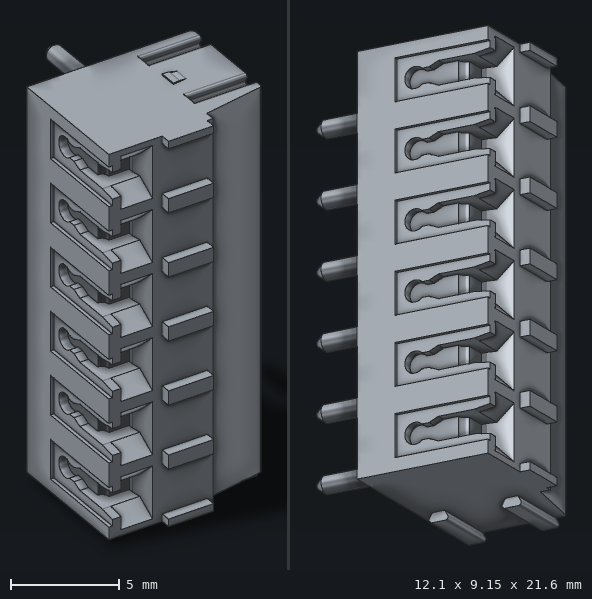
import cadquery as cq
import math

poles = 6
pitch = 3.5
body_length = 7.0
body_depth = 9.15
body_height = 21.02
first_pole_z = (body_height - (poles - 1) * pitch) / 2
pole_heights = [first_pole_z + pole * pitch for pole in range(poles)]

back_start_y = 5.75
back_length_at_start = 6.45
back_length_at_end = 5.87
back_left_radius = 0.28
back_right_radius = 0.17

pin_diameter = 0.9
pin_length = 4.5
pin_axis_y = 4.19
pin_taper_length = 0.4
pin_tip_diameter = 0.3

key_length = 0.55
key_start_y = 2.93
key_end_y = 5.42
key_width = 0.78

dovetail_positions = (1.05, 4.96)
flare_angle = 30
rail_neck = 0.67
rail_height = 0.5
rail_length = 3.5
rail_edge_radius = 0.15
groove_neck = 0.47
groove_depth = 0.56
groove_length = 3.4
groove_edge_radius = 0.09
groove_lip_radius = 0.15

latch_center_x = 3.02
latch_front_y = 5.8
latch_crest_y = 6.17
latch_back_y = 6.55
latch_front_width = 0.97
latch_back_width = 0.78
latch_height = 0.06

recess_start_x = 2.03
recess_width = 2.15
recess_depth = 0.2

slot_floor_y = 0.67
eye_center_x = 2.98
eye_radius = 0.55
throat_half_width = 0.39
throat_end_x = 3.73
channel_half_width = 0.6
channel_start_x = 4.23
mouth_start_x = 6.15
mouth_half_width = 0.73

chamber_wall_x = 5.4
chamber_edge_radius = 0.37
chamber_floor_y = 2.15
chamber_ramp_x = 5.65
chamber_ramp_angle = 10.5


def make_body():
    outline = (
        cq.Workplane("XY")
        .polyline([
            (0, 0),
            (body_length, 0),
            (body_length, back_start_y),
            (back_length_at_start, back_start_y),
            (back_length_at_end, body_depth),
            (0, body_depth),
        ])
        .close()
        .extrude(body_height)
    )
    rounded = outline.faces(">Y").edges("|Z").edges("<X").fillet(back_left_radius)
    return rounded.faces(">Y").edges("|Z").edges(">X").fillet(back_right_radius)


def make_pin(z):
    radius = pin_diameter / 2
    tip_radius = pin_tip_diameter / 2
    return (
        cq.Workplane("XY")
        .polyline([
            (0, 0),
            (0, radius),
            (pin_taper_length - pin_length, radius),
            (-pin_length, tip_radius),
            (-pin_length, 0),
        ])
        .close()
        .revolve(360, (0, 0), (1, 0))
        .translate((0, pin_axis_y, z))
    )


def make_keys():
    """Keys centred between the poles; the outermost two are cut off flush with the body."""
    keys = cq.Workplane("XY")
    for boundary in range(poles + 1):
        center_z = pole_heights[0] + (boundary - 0.5) * pitch
        start_z = max(center_z - key_width / 2, 0)
        end_z = min(center_z + key_width / 2, body_height)
        keys = keys.add(
            cq.Workplane("XY")
            .box(key_length, key_end_y - key_start_y, end_z - start_z, centered=False)
            .translate((body_length, key_start_y, start_z))
        )
    return keys


def make_dovetail(neck, height, length, edge_radius):
    """Dovetail hanging below Z = 0, ending at the back of the body, with rounded wide edges."""
    spread = height * math.tan(math.radians(flare_angle))
    return (
        cq.Workplane("XZ", origin=(0, body_depth, 0))
        .polyline([
            (-neck / 2, 0),
            (neck / 2, 0),
            (neck / 2 + spread, -height),
            (-neck / 2 - spread, -height),
        ])
        .close()
        .extrude(length)
        .faces("<Z").edges("|Y").fillet(edge_radius)
    )


def make_groove(x):
    """Dovetail groove volume, hanging down from the top face."""
    groove = make_dovetail(groove_neck, groove_depth, groove_length, groove_edge_radius)
    return groove.translate((x, 0, body_height))


def round_groove_lips(body):
    """Round both long edges of every groove over into the top face."""
    middle_y = body_depth - groove_length / 2
    for groove_x in dovetail_positions:
        for lip_x in (groove_x - groove_neck / 2, groove_x + groove_neck / 2):
            lip = cq.selectors.NearestToPointSelector((lip_x, middle_y, body_height))
            body = body.edges(lip).fillet(groove_lip_radius)
    return body


def make_latch():
    half_front = latch_front_width / 2
    half_back = latch_back_width / 2
    plan = (
        cq.Workplane("XY")
        .polyline([
            (-half_front, latch_front_y),
            (half_front, latch_front_y),
            (half_back, latch_back_y),
            (-half_back, latch_back_y),
        ])
        .close()
        .extrude(latch_height)
    )
    side_profile = (
        cq.Workplane("YZ")
        .polyline([
            (latch_front_y, 0),
            (latch_front_y, latch_height),
            (latch_crest_y, latch_height),
            (latch_back_y, 0),
        ])
        .close()
        .extrude(half_front, both=True)
    )
    return plan.intersect(side_profile).translate((latch_center_x, 0, body_height))


def make_recess():
    recess_length = body_length - recess_start_x
    return (
        cq.Workplane("XY")
        .box(recess_length, recess_depth, recess_width, centered=(False, False, True))
        .translate((recess_start_x, 0, 0))
    )


def make_slot():
    throat_start_x = eye_center_x + math.sqrt(eye_radius**2 - throat_half_width**2)
    return (
        cq.Workplane("XZ")
        .moveTo(throat_start_x, throat_half_width)
        .threePointArc((eye_center_x - eye_radius, 0), (throat_start_x, -throat_half_width))
        .lineTo(throat_end_x, -throat_half_width)
        .lineTo(channel_start_x, -channel_half_width)
        .lineTo(mouth_start_x, -channel_half_width)
        .lineTo(body_length, -mouth_half_width)
        .lineTo(body_length, mouth_half_width)
        .lineTo(mouth_start_x, channel_half_width)
        .lineTo(channel_start_x, channel_half_width)
        .lineTo(throat_end_x, throat_half_width)
        .close()
        .extrude(-slot_floor_y)
    )


def make_chamber():
    """Chamber behind the slot: rounded edge, floor falling away to +X, 45 degree lead-in."""
    ramp_drop = (body_length - chamber_ramp_x) * math.tan(math.radians(chamber_ramp_angle))
    entry_half_width = channel_half_width + body_length - mouth_start_x
    side_profile = (
        cq.Workplane("XY")
        .moveTo(chamber_wall_x - chamber_edge_radius, slot_floor_y)
        .radiusArc((chamber_wall_x, slot_floor_y + chamber_edge_radius), chamber_edge_radius)
        .lineTo(chamber_wall_x, chamber_floor_y)
        .lineTo(chamber_ramp_x, chamber_floor_y)
        .lineTo(body_length, chamber_floor_y + ramp_drop)
        .lineTo(body_length, slot_floor_y)
        .close()
        .extrude(entry_half_width, both=True)
    )
    front_profile = (
        cq.Workplane("XZ")
        .polyline([
            (eye_center_x, -channel_half_width),
            (mouth_start_x, -channel_half_width),
            (body_length, -entry_half_width),
            (body_length, entry_half_width),
            (mouth_start_x, channel_half_width),
            (eye_center_x, channel_half_width),
        ])
        .close()
        .extrude(-body_depth)
    )
    return side_profile.intersect(front_profile)


result = make_body()

for x in dovetail_positions:
    result = result.cut(make_groove(x))
result = round_groove_lips(result)

pole_opening = make_recess().union(make_slot()).union(make_chamber())
for z in pole_heights:
    result = result.cut(pole_opening.translate((0, 0, z)))
    result = result.union(make_pin(z))

for key in make_keys().vals():
    result = result.union(key)

rail = make_dovetail(rail_neck, rail_height, rail_length, rail_edge_radius)
for x in dovetail_positions:
    result = result.union(rail.translate((x, 0, 0)))

result = result.union(make_latch())